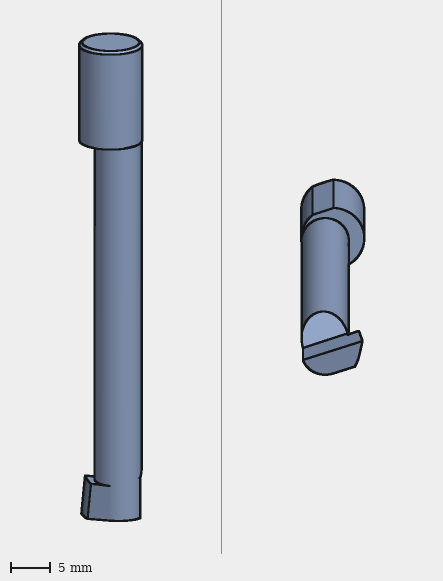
import cadquery as cq
import math

total_length = 63.0

head_diameter = 8.0
head_length = 13.0
head_chamfer = 0.4
head_flat_depth = 0.25

neck_diameter = 6.0

ramp_foot_z = 5.6
ramp_angle = 45.0

tooth_height = 5.1
tooth_lean = 0.5
heel_x = -2.8
heel_y = -2.1
shoulder_x = -2.0
end_rise_x = 2.1
end_rise_y = 5.8

head_radius = head_diameter / 2
neck_radius = neck_diameter / 2
neck_x = head_radius - neck_radius
tip_x = -head_radius
head_base_z = total_length - head_length


def make_head():
    head = cq.Workplane("XY", origin=(0, 0, head_base_z)).circle(head_radius).extrude(head_length)
    head = head.faces(">Z").chamfer(head_chamfer)
    flat_y = head_radius - head_flat_depth
    flat_cut = cq.Workplane("XY", origin=(0, flat_y, head_base_z)).box(
        head_diameter, head_diameter, head_length, centered=(True, False, False)
    )
    return head.cut(flat_cut)


def make_neck():
    neck = cq.Workplane("XY", origin=(neck_x, 0, 0)).circle(neck_radius).extrude(head_base_z)
    ramp_top_z = ramp_foot_z + head_radius * math.tan(math.radians(ramp_angle))
    relief = (
        cq.Workplane("YZ")
        .polyline([(0, 0), (head_radius, 0), (head_radius, ramp_top_z), (0, ramp_foot_z)])
        .close()
        .extrude(head_diameter, both=True)
    )
    return neck.cut(relief)


def tooth_outline(lean):
    return [
        (neck_x, 0),
        (tip_x + lean, 0),
        (heel_x + lean, heel_y),
        (shoulder_x + lean, -neck_radius),
        (neck_x, -neck_radius),
    ]


def make_tooth():
    return (
        cq.Workplane("XY")
        .polyline(tooth_outline(0))
        .close()
        .workplane(offset=tooth_height)
        .polyline(tooth_outline(tooth_lean))
        .close()
        .loft(ruled=True)
    )


def make_end_cut():
    """Block below the sloping end face, which passes through the cutting tip."""
    slope_x = math.tan(math.radians(end_rise_x))
    slope_y = math.tan(math.radians(end_rise_y))
    end_plane = cq.Plane(origin=(tip_x, 0, 0), xDir=(1, 0, slope_x), normal=(-slope_x, slope_y, 1))
    block_size = 4 * head_diameter
    return cq.Workplane(end_plane).rect(block_size, block_size).extrude(-head_diameter)


result = make_head().union(make_neck()).union(make_tooth()).cut(make_end_cut())